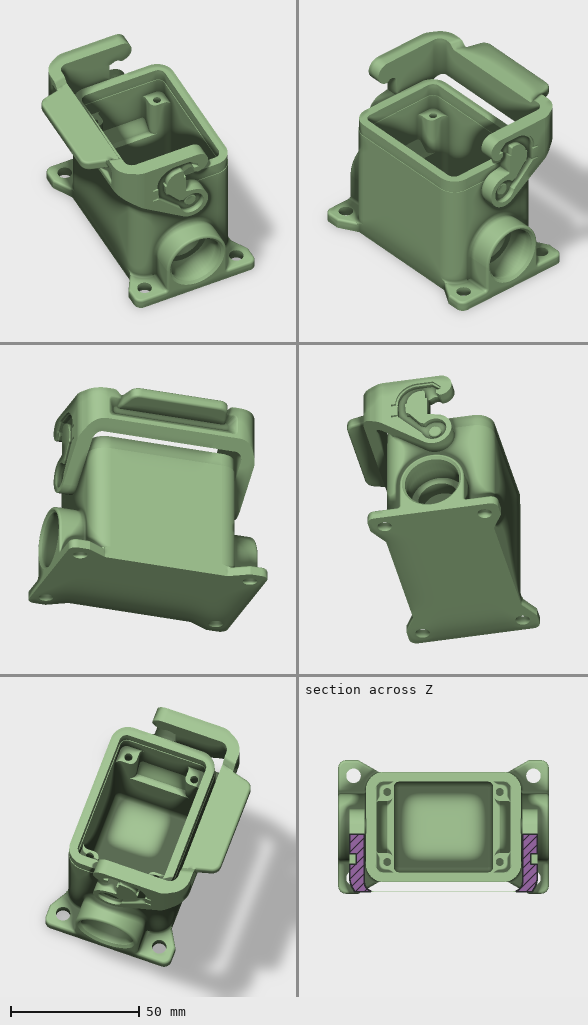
import cadquery as cq
import math

body_half_x = 30.25
body_half_y = 21.5
body_corner = 7.2
shoulder_z = 47.65
shoulder_step = 0.25
body_top = 52.8
edge_round = 1.0

base_half_x = 41.0
base_half_y = 26.0
foot_height = 4.0
foot_corner = 3.0
foot_inner_x = 33.1
foot_root_x = 25.25
foot_hole_x = 35.0
foot_hole_y = 19.9
foot_hole_dia = 5.65

entry_z = 15.1
entry_radius = 12.9
bore_radius = 10.8
bore_floor_x = 27.9
mouth_bevel = 1.0
knockout_radius = 8.1
knockout_wall = 2.0

cavity_half_x = 26.4
cavity_half_y = 17.9
cavity_corner = 2.95
well_half_x = 19.35
well_floor = 3.3
well_floor_round = 2.0
well_corner = 2.05
ledge_z = 25.4
ledge_inner_x = 22.0
post_top = 41.25
post_root_round = 1.15
post_x = 21.9
post_y = 13.6
post_radius = 3.45
post_reach = 2.55
post_hole_dia = 3.1
post_hole_depth = 8.2

pivot_z = 43.6
pivot_radius = 7.0
lever_half_x = 36.5
lever_gap_x = 30.7
lever_top = 69.2
lever_front = -29.9
lever_front_inner = -25.0
lever_corner_inner = 3.45
lever_bend_x = 27.3
lever_bend_y = -20.75
bevel_rear = (35.6, -23.5)
bevel_front = (34.2, -26.0)
lever_slope = 35.0
neck_slope = 10.0
neck_y = -2.7
hook_y = 2.3
hook_radius = 4.7
hook_mouth_z = 59.95
mouth_step = 1.2
mouth_height = 1.0
washer_radius = 3.45

recess_depth = 2.5
step_depth = 0.8
step_width = 0.7
step_side = 0.2
hook_slot_rear = 0.9
hook_slot_z = 62.65
hook_tip_y = 2.55
hook_tip_top = (2.4, 63.3)
hook_crown_y = -0.8
bow_y = -6.7
bow_z = 58.1
bow_radius = 7.9
tick_front = -17.05
tick_width = 0.9
lower_tick_z = 52.3
strap_outline = [
    (-14.4, 51.8),
    (-4.5, 42.1),
    (-3.3, 46.6),
    (-5.6, 47.5),
    (-10.0, 52.7),
    (-11.15, 53.1),
    (-11.6, 57.6),
    (-10.8, 57.7),
]
inner_bow_middle = (-9.2, 61.5)
inner_bow_end = (-5.6, 63.0)
slot_front_outline = [(-4.35, 63.0), (-3.7, 62.5), (-3.45, 59.1)]
eye_radius = 4.9
pin_radius = 2.55
pin_height = 1.0
pin_chamfer = 0.3

tab_top = 67.0
tab_tip_y = -38.8
tab_root_half = 22.9
tab_angle = 14.5
tab_root_bottom = 62.5
tab_tip_bottom = 63.0
tab_corner = 3.7
notch_flare = 45.0
notch_round = 1.8
hollow_half_x = 26.2
hollow_bottom = 57.8
hollow_top = 65.7
hollow_depth = 2.95
hollow_inset = 2.5
hollow_rim_round = 0.8
hollow_corner = 1.2

full_turn = 360
half_turn = 180
quarter_turn = 90
tolerance = 0.04
overlap = 0.8


def rounded_block(half_x, half_y, z0, z1, radius):
    """Upright block with rounded vertical corners, centred on the Z axis."""
    block = cq.Workplane("XY").workplane(offset=z0).rect(2 * half_x, 2 * half_y)
    return block.extrude(z1 - z0).edges("|Z").fillet(radius)


def both_sides(solid):
    """The solid joined with its mirror image across X = 0."""
    return solid.union(solid.mirror("YZ"))


def foot_plate(height):
    """Base plate with four feet, whose inner edges slope back to the long sides of the body."""
    quarter = [
        (0, 0),
        (base_half_x, 0),
        (base_half_x, base_half_y),
        (foot_inner_x, base_half_y),
        (foot_root_x, body_half_y),
        (0, body_half_y),
    ]
    plate = cq.Workplane("XY").polyline(quarter).close().extrude(height)
    outer_corner = (base_half_x, base_half_y, height / 2)
    plate = plate.edges(cq.selectors.NearestToPointSelector(outer_corner)).fillet(foot_corner)
    half = plate.union(plate.mirror("XZ"))
    return both_sides(half)


def entry_collars():
    """Arched collars of the two cable entries, as one bar through the body."""
    return (
        cq.Workplane("YZ").workplane(offset=-base_half_x)
        .moveTo(-entry_radius, 0)
        .lineTo(-entry_radius, entry_z)
        .threePointArc((0, entry_z + entry_radius), (entry_radius, entry_z))
        .lineTo(entry_radius, 0)
        .close()
        .extrude(2 * base_half_x)
    )


def body_block():
    """Lower body and the slightly smaller upper body."""
    inset_x = body_half_x - shoulder_step
    inset_y = body_half_y - shoulder_step
    lower = rounded_block(body_half_x, body_half_y, 0, shoulder_z, body_corner)
    upper = rounded_block(inset_x, inset_y, 0, body_top, body_corner - shoulder_step)
    return lower.union(upper)


def is_rounded_edge(edge):
    """True for the rims of the feet and collars and the roots between them."""
    box = edge.BoundingBox()
    near_x = min(abs(box.xmin), abs(box.xmax))
    far_x = max(abs(box.xmin), abs(box.xmax))
    near_y = min(abs(box.ymin), abs(box.ymax))
    level = box.zmin > foot_height - tolerance
    on_foot_top = level and box.zmax < foot_height + tolerance
    on_end_face = level and near_x > base_half_x - tolerance
    foot_rim = on_foot_top and near_y > body_half_y - tolerance and far_x > foot_root_x + tolerance
    collar_root = on_foot_top and far_x > base_half_x - tolerance
    return on_end_face or foot_rim or collar_root


def cove_profile(plane, radius, level):
    """Section of a hollow rounding between a wall at the radius and a flat at the level."""
    bow = edge_round * (1 - math.sqrt(0.5))
    return (
        cq.Workplane(plane)
        .moveTo(radius - overlap, level - overlap)
        .lineTo(radius + edge_round, level - overlap)
        .lineTo(radius + edge_round, level)
        .threePointArc((radius + bow, level + bow), (radius, level + edge_round))
        .lineTo(radius - overlap, level + edge_round)
        .close()
    )


def corner_coves():
    """Hollow roundings where the body corners meet the tops of the feet."""
    cove = cove_profile("XZ", body_corner, foot_height).revolve(quarter_turn, (0, 0, 0), (0, 1, 0))
    cove = cove.translate((body_half_x - body_corner, body_half_y - body_corner, 0))
    cove = cove.intersect(foot_plate(foot_height + edge_round))
    half = cove.union(cove.mirror("XZ"))
    return both_sides(half)


def collar_coves():
    """Hollow roundings where the collars meet the end walls of the body."""
    section_plane = cq.Plane(origin=(0, 0, entry_z), xDir=(0, 1, 0), normal=(0, 0, -1))
    arch = cove_profile(section_plane, entry_radius, body_half_x).revolve(half_turn, (0, 0, 0), (0, 1, 0))
    leg = cove_profile(section_plane, entry_radius, body_half_x).extrude(entry_z - foot_height)
    return both_sides(arch.union(leg).union(leg.mirror("XZ")))


def outer_shell():
    """Outside of the housing with its rounded rims and hollow roots."""
    shell = body_block().union(foot_plate(foot_height)).union(entry_collars()).clean()
    rounded = [edge for edge in shell.val().Edges() if is_rounded_edge(edge)]
    shell = shell.newObject(rounded).fillet(edge_round)
    return shell.union(collar_coves()).union(corner_coves())


def foot_holes():
    """Four screw holes through the feet."""
    corners = [(sx * foot_hole_x, sy * foot_hole_y) for sx in (-1, 1) for sy in (-1, 1)]
    return cq.Workplane("XY").pushPoints(corners).circle(foot_hole_dia / 2).extrude(foot_height + overlap)


def entry_bores():
    """Blind bore with a bevelled mouth and a knock-out recess, at both ends."""
    recess_floor = well_half_x + knockout_wall
    profile = [
        (recess_floor, 0),
        (recess_floor, knockout_radius),
        (bore_floor_x, knockout_radius),
        (bore_floor_x, bore_radius),
        (base_half_x - mouth_bevel, bore_radius),
        (base_half_x, bore_radius + mouth_bevel),
        (base_half_x, 0),
    ]
    bore = cq.Workplane("XY").polyline(profile).close().revolve(full_turn, (0, 0, 0), (1, 0, 0))
    return both_sides(bore.translate((0, 0, entry_z)))


def corner_posts():
    """Screw posts that stay standing in the corners of the upper cavity."""
    width = cavity_half_x - post_x + post_reach
    depth = cavity_half_y - post_y + post_radius
    post = (
        cq.Workplane("XY").workplane(offset=ledge_z)
        .center(cavity_half_x - width / 2, cavity_half_y - depth / 2)
        .rect(width, depth)
        .extrude(post_top - ledge_z)
        .edges("|Z and <X and <Y").fillet(post_reach)
    )
    hole = cq.Workplane("XY").workplane(offset=post_top - post_hole_depth).center(post_x, post_y)
    post = post.cut(hole.circle(post_hole_dia / 2).extrude(post_hole_depth))
    half = post.union(post.mirror("XZ"))
    return both_sides(half)


def ledge_ramps():
    """45 degree ramps between the end walls of the cavity and its ledges."""
    run = cavity_half_x - ledge_inner_x
    ramp = (
        cq.Workplane("XZ")
        .moveTo(ledge_inner_x, ledge_z)
        .lineTo(cavity_half_x, ledge_z)
        .lineTo(cavity_half_x, ledge_z + run)
        .close()
        .extrude(cavity_half_y, both=True)
    )
    return both_sides(ramp)


def round_upright_edges(solid, x, y, radius):
    """Round the four upright edges that stand symmetrically at x, y."""
    chosen = []
    for edge in solid.edges("|Z").vals():
        middle = edge.Center()
        if abs(abs(middle.x) - x) < tolerance and abs(abs(middle.y) - y) < tolerance:
            chosen.append(edge)
    return solid.newObject(chosen).fillet(radius)


def cavity():
    """Open cavity: wide above the ledges, with a narrower well between them."""
    inset_x = cavity_half_x - shoulder_step
    inset_y = cavity_half_y - shoulder_step
    mouth = rounded_block(cavity_half_x, cavity_half_y, shoulder_z, body_top, cavity_corner)
    upper = rounded_block(inset_x, inset_y, ledge_z, body_top, cavity_corner - shoulder_step)
    upper = upper.cut(corner_posts())
    upper = round_upright_edges(upper, well_half_x, inset_y, well_corner)
    upper = round_upright_edges(upper, inset_x, post_y - post_radius, post_root_round)
    upper = upper.cut(ledge_ramps())
    well = rounded_block(well_half_x, inset_y, well_floor, ledge_z, well_corner)
    well = well.faces("<Z").edges().fillet(well_floor_round)
    return mouth.union(upper).union(well)


def housing():
    """Casting with its holes, entries and cavity."""
    return outer_shell().cut(foot_holes()).cut(entry_bores()).cut(cavity())


def pivot_point(angle):
    """Point on the pivot eye; the angle is measured from +Y towards +Z."""
    turn = math.radians(angle)
    return (pivot_radius * math.cos(turn), pivot_z + pivot_radius * math.sin(turn))


def lever_blank():
    """Side outline of the lever: hook at the top, pivot eye below, sloping underside."""
    neck_start = pivot_point(quarter_turn - neck_slope)
    neck_z = neck_start[1] + (neck_start[0] - neck_y) * math.tan(math.radians(neck_slope))
    slope_end = pivot_point(half_turn + quarter_turn - lever_slope)
    rise = (slope_end[0] - lever_front) * math.tan(math.radians(lever_slope))
    hook_z = lever_top - hook_radius
    mouth_ceiling = hook_mouth_z + mouth_height
    return (
        cq.Workplane("YZ").workplane(offset=-lever_half_x)
        .moveTo(lever_front, lever_top)
        .lineTo(hook_y, lever_top)
        .threePointArc((hook_y + hook_radius, hook_z), (hook_y, hook_z - hook_radius))
        .lineTo(hook_y - mouth_step, mouth_ceiling)
        .lineTo(neck_y + 2 * mouth_step, mouth_ceiling)
        .lineTo(neck_y + mouth_step / 2, hook_mouth_z)
        .lineTo(neck_y, hook_mouth_z)
        .lineTo(neck_y, neck_z)
        .lineTo(*neck_start)
        .threePointArc(pivot_point(0), slope_end)
        .lineTo(lever_front, slope_end[1] + rise)
        .close()
        .extrude(2 * lever_half_x)
    )


def lever_frame():
    """U-shaped plan of the lever: two arms joined by a front plate with round corners."""
    rear = hook_y + hook_radius + overlap
    outside = (
        cq.Workplane("XY")
        .moveTo(0, lever_front)
        .lineTo(lever_bend_x, lever_front)
        .tangentArcPoint(bevel_front, relative=False)
        .lineTo(*bevel_rear)
        .tangentArcPoint((lever_half_x, lever_bend_y), relative=False)
        .lineTo(lever_half_x, rear)
        .lineTo(0, rear)
        .close()
        .extrude(lever_top)
    )
    inside = (
        cq.Workplane("XY")
        .center(0, (rear + lever_front_inner) / 2)
        .rect(2 * lever_gap_x, rear - lever_front_inner)
        .extrude(lever_top)
        .edges("|Z and <Y").fillet(lever_corner_inner)
    )
    return both_sides(outside).cut(inside)


def hollow():
    """Tapered pocket in the outer face of the front plate, behind the finger tab."""
    height = hollow_top - hollow_bottom
    mouth = cq.Sketch().rect(2 * hollow_half_x, height).vertices().fillet(hollow_corner)
    floor = cq.Sketch().rect(2 * (hollow_half_x - hollow_inset), height - 2 * hollow_inset)
    floor = floor.vertices().fillet(hollow_corner)
    depth = cq.Location(cq.Vector(0, 0, -hollow_depth))
    return (
        cq.Workplane("XZ", origin=(0, lever_front, (hollow_top + hollow_bottom) / 2))
        .placeSketch(mouth, floor.moved(depth))
        .loft()
    )


def tab_plan(root_y, tip_y, root_half, z0):
    """Symmetric trapezoid on the level z0 whose sides converge towards the tab tip."""
    tip_half = root_half - (root_y - tip_y) * math.tan(math.radians(tab_angle))
    corners = [(-root_half, root_y), (root_half, root_y), (tip_half, tip_y), (-tip_half, tip_y)]
    return cq.Workplane("XY").workplane(offset=z0).polyline(corners).close()


def notch():
    """Flared gap in the top of the front plate, level with the finger tab."""
    margin = lever_corner_inner
    root_y = lever_front_inner + margin
    tip_y = lever_front - margin
    root_half = tab_root_half + margin * math.tan(math.radians(tab_angle))
    return tab_plan(root_y, tip_y, root_half, tab_top).extrude(lever_top - tab_top, taper=-notch_flare)


def finger_tab():
    """Tapered tab with rounded tip that the lever is lifted by."""
    root_y = lever_front + hollow_depth
    side = (
        cq.Workplane("YZ").workplane(offset=-tab_root_half)
        .moveTo(root_y, tab_root_bottom)
        .lineTo(root_y, tab_top)
        .lineTo(tab_tip_y, tab_top)
        .lineTo(tab_tip_y, tab_tip_bottom)
        .lineTo(lever_front, tab_root_bottom)
        .close()
        .extrude(2 * tab_root_half)
    )
    root_half = tab_root_half - (lever_front_inner - root_y) * math.tan(math.radians(tab_angle))
    plan = tab_plan(root_y, tab_tip_y, root_half, 0).extrude(lever_top)
    plan = plan.edges("|Z and <Y").fillet(tab_corner)
    tab = plan.intersect(side)
    free_edges = [edge for edge in tab.edges("not |Z").vals() if edge.Center().y < root_y - tolerance]
    return tab.newObject(free_edges).fillet(edge_round)


def bow_middle(radius):
    """Middle point of the quarter bow between its top and its front end."""
    diagonal = radius * math.sqrt(0.5)
    return (bow_y - diagonal, bow_z + diagonal)


def arm_step():
    """Shallow step along the outer side of the bow, ending in a short tick, and a second tick below."""
    face = cq.Workplane("YZ").workplane(offset=-lever_half_x)
    outer = bow_radius + step_width
    inner = bow_radius - step_width
    step = (
        face.moveTo(hook_tip_y + step_side, hook_slot_z)
        .lineTo(hook_tip_top[0] + step_side, hook_tip_top[1] + step_width)
        .lineTo(hook_crown_y + step_width / 2, bow_z + outer)
        .lineTo(bow_y, bow_z + outer)
        .threePointArc(bow_middle(outer), (bow_y - outer, bow_z))
        .lineTo(tick_front, bow_z)
        .lineTo(tick_front, bow_z - tick_width)
        .lineTo(bow_y - inner, bow_z - tick_width)
        .lineTo(bow_y - inner, bow_z)
        .threePointArc(bow_middle(inner), (bow_y, bow_z + inner))
        .lineTo(hook_crown_y, bow_z + inner)
        .lineTo(hook_tip_y - step_width, hook_slot_z)
        .close()
        .extrude(step_depth)
    )
    tick_rear = bow_y - inner
    tick = face.center((tick_front + tick_rear) / 2, lower_tick_z)
    tick = tick.rect(tick_rear - tick_front, tick_width).extrude(step_depth)
    return step.union(tick)


def arm_recess():
    """Spring channel in the outer face of an arm: hook, bow, strap and eye, with the pin left standing."""
    face = cq.Workplane("YZ").workplane(offset=-lever_half_x)
    channel = (
        face.moveTo(hook_slot_rear, hook_mouth_z)
        .lineTo(hook_slot_rear, hook_slot_z)
        .lineTo(hook_tip_y, hook_slot_z)
        .lineTo(*hook_tip_top)
        .lineTo(hook_crown_y, bow_z + bow_radius)
        .lineTo(bow_y, bow_z + bow_radius)
        .threePointArc(bow_middle(bow_radius), (bow_y - bow_radius, bow_z))
        .polyline(strap_outline, includeCurrent=True)
        .threePointArc(inner_bow_middle, inner_bow_end)
        .polyline(slot_front_outline, includeCurrent=True)
        .close()
        .extrude(recess_depth)
    )
    eye = face.center(0, pivot_z).circle(eye_radius).extrude(recess_depth)
    pin_face = -lever_half_x + recess_depth - pin_height
    pin = cq.Workplane("YZ").workplane(offset=pin_face).center(0, pivot_z)
    pin = pin.circle(pin_radius).extrude(pin_height).faces("<X").chamfer(pin_chamfer)
    return channel.union(eye).cut(pin).union(arm_step())


def is_notch_rim(edge):
    """True for the two slanting edges of the notch in the top face of the lever."""
    box = edge.BoundingBox()
    slanting = box.xlen > tolerance and box.ylen > tolerance and edge.geomType() == "LINE"
    return slanting and box.zmin > lever_top - tolerance and abs(edge.Center().x) < lever_bend_x


def is_hollow_rim(edge):
    """True for the edges where the hollow opens in the front face of the lever."""
    box = edge.BoundingBox()
    in_front_face = box.ymax < lever_front + tolerance
    in_height = box.zmin > hollow_bottom - tolerance and box.zmax < hollow_top + tolerance
    return in_front_face and in_height and box.xmax < hollow_half_x + tolerance


def lever():
    """Lever with notch, hollow and tab in front, a recess in each arm, and the pivot washers."""
    frame = lever_blank().intersect(lever_frame()).cut(notch())
    notch_rims = [edge for edge in frame.val().Edges() if is_notch_rim(edge)]
    frame = frame.newObject(notch_rims).fillet(notch_round).cut(hollow())
    hollow_rim = [edge for edge in frame.val().Edges() if is_hollow_rim(edge)]
    frame = frame.newObject(hollow_rim).fillet(hollow_rim_round).union(finger_tab())
    frame = frame.cut(both_sides(arm_recess()))
    washer = cq.Workplane("YZ").workplane(offset=-lever_gap_x - overlap).center(0, pivot_z)
    washer = washer.circle(washer_radius).extrude(lever_gap_x - body_half_x + 2 * overlap)
    return frame.union(both_sides(washer))


result = housing().union(lever())